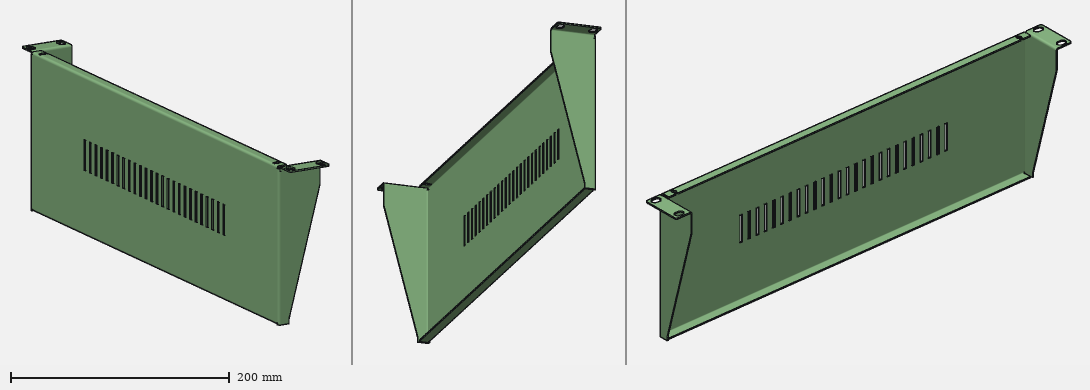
import cadquery as cq

WIDTH = 482.5
DEPTH = 44.0
HEIGHT = 151.0

SHEET = 1.5
INNER_BEND = 1.0
OUTER_BEND = INNER_BEND + SHEET

BODY_WIDTH = 447.0
LIP_DEPTH = 10.0
LIP_END_GAP = 1.5

SIDE_STRAIGHT = 23.0
SIDE_FOOT_DEPTH = 11.0
SIDE_FOOT_TOP = 5.0

EAR_FRONT_GAP = 1.5
EAR_OVERLAP = 2 * OUTER_BEND
EAR_CORNER_RADIUS = 2.5
EAR_SLOT_LENGTH = 10.0
EAR_SLOT_WIDTH = 6.8
EAR_SLOT_INSET = 8.0
EAR_SLOT_BACK = 5.5
EAR_SLOT_PITCH = 32.0

LIP_HOLE_DIAMETER = 4.5
LIP_HOLE_X = 210.5
LIP_SLIT_WIDTH = 2.5

VENT_COUNT = 26
VENT_ROW_LENGTH = 250.0
VENT_PITCH = VENT_ROW_LENGTH / (VENT_COUNT - 1)
VENT_WIDTH = 3.0
VENT_HEIGHT = 29.0
VENT_CENTER_X = -0.5
VENT_CENTER_Z = 76.3

HALF_BODY = BODY_WIDTH / 2
INNER_HALF = HALF_BODY - SHEET


def box(x_min, x_max, y_min, y_max, z_min, z_max):
    """Block given by its limits along each axis."""
    size = (x_max - x_min, y_max - y_min, z_max - z_min)
    return cq.Workplane("XY").box(*size, centered=False).translate((x_min, y_min, z_min))


def make_lipped_panel():
    """Front panel with a lip bent back along its upper and lower edges."""
    half = INNER_HALF - LIP_END_GAP
    outer = box(-half, half, 0, LIP_DEPTH, 0, HEIGHT)
    inner = box(-half, half, SHEET, LIP_DEPTH, SHEET, HEIGHT - SHEET)
    outer = outer.edges("|X and <Y").fillet(OUTER_BEND)
    inner = inner.edges("|X and <Y").fillet(INNER_BEND)
    return outer.cut(inner)


def make_side_walls():
    """Side plates bent back from the panel, with their rear edges tapering to the foot."""
    z_max = HEIGHT - OUTER_BEND
    outer = box(-HALF_BODY, HALF_BODY, 0, DEPTH, 0, z_max)
    inner = box(-INNER_HALF, INNER_HALF, SHEET, DEPTH, 0, z_max)
    outer = outer.edges("|Z and <Y").fillet(OUTER_BEND)
    inner = inner.edges("|Z and <Y").fillet(INNER_BEND)
    middle = INNER_HALF - LIP_END_GAP
    walls = outer.cut(inner).cut(box(-middle, middle, 0, SHEET, 0, z_max))
    profile = [
        (0, 0),
        (SIDE_FOOT_DEPTH, 0),
        (SIDE_FOOT_DEPTH, SIDE_FOOT_TOP),
        (DEPTH, HEIGHT - SIDE_STRAIGHT),
        (DEPTH, z_max),
        (0, z_max),
    ]
    taper = cq.Workplane("YZ").polyline(profile).close().extrude(HALF_BODY, both=True)
    return walls.intersect(taper)


def make_right_ear():
    """Ear bent outward from the top of the right side plate, with two mounting slots."""
    y_min = EAR_FRONT_GAP
    z_min = HEIGHT - EAR_OVERLAP
    outer = box(INNER_HALF, WIDTH / 2, y_min, DEPTH, z_min, HEIGHT)
    inner = box(HALF_BODY, WIDTH / 2, y_min, DEPTH, z_min, HEIGHT - SHEET)
    outer = outer.edges("|Y and <X and >Z").fillet(OUTER_BEND)
    inner = inner.edges("|Y and <X and >Z").fillet(INNER_BEND)
    ear = outer.cut(inner).edges("|Z and >X").fillet(EAR_CORNER_RADIUS)
    slot_y = DEPTH - EAR_SLOT_BACK
    slots = (
        cq.Workplane("XY")
        .workplane(offset=z_min)
        .pushPoints([(WIDTH / 2 - EAR_SLOT_INSET, y) for y in (slot_y, slot_y - EAR_SLOT_PITCH)])
        .slot2D(EAR_SLOT_LENGTH, EAR_SLOT_WIDTH)
        .extrude(EAR_OVERLAP)
    )
    return ear.cut(slots)


def make_vents():
    """Cutter for the row of vent slots through the panel."""
    cutter = cq.Workplane("XZ", origin=(VENT_CENTER_X, 0, VENT_CENTER_Z))
    return cutter.rarray(VENT_PITCH, 5, VENT_COUNT, 1).rect(VENT_WIDTH, VENT_HEIGHT).extrude(-SHEET)


def make_lip_holes():
    """Cutters for the holes and slits near the ends of the upper lip."""
    z_min = HEIGHT - SHEET
    lip_middle = (OUTER_BEND + LIP_DEPTH) / 2
    centers = [(-LIP_HOLE_X, lip_middle), (LIP_HOLE_X, lip_middle)]
    plane = cq.Workplane("XY").workplane(offset=z_min).pushPoints(centers)
    holes = plane.circle(LIP_HOLE_DIAMETER / 2).extrude(SHEET)
    slits = plane.rect(LIP_SLIT_WIDTH, LIP_DEPTH - OUTER_BEND).extrude(SHEET)
    return holes.union(slits)


right_ear = make_right_ear()
body = make_lipped_panel().union(make_side_walls())
body = body.union(right_ear).union(right_ear.mirror("YZ"))
result = body.cut(make_vents()).cut(make_lip_holes())